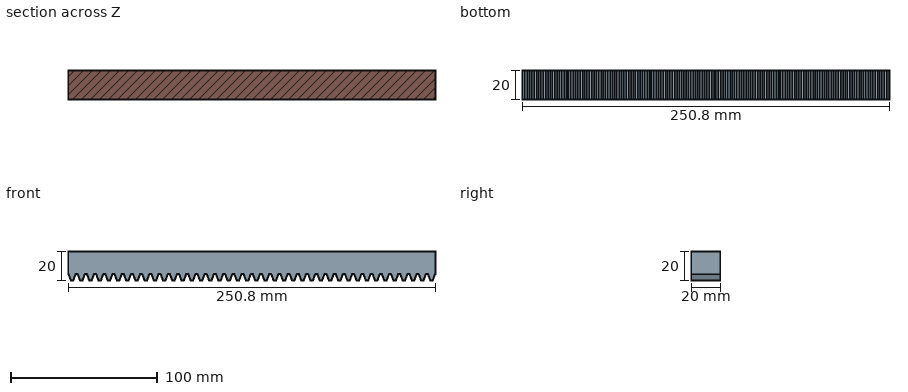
import cadquery as cq
import math

length = 250.8
width = 20.0
height = 20.0

tooth_count = 40
end_to_tooth_centre = 2.8
pitch = (length - 2 * end_to_tooth_centre) / (tooth_count - 1)
module = pitch / math.pi

pressure_angle = math.radians(20)
addendum = module
root_clearance = 0.25 * module
dedendum = addendum + root_clearance
tooth_depth = addendum + dedendum
half_tip = pitch / 4 - addendum * math.tan(pressure_angle)
half_root = pitch / 4 + dedendum * math.tan(pressure_angle)

top_z = height / 2
tip_z = -height / 2
root_z = tip_z + tooth_depth


def tooth_points(centre_x):
    """Corners of one tooth, from its left root to its right root."""
    return [
        (centre_x - half_root, root_z),
        (centre_x - half_tip, tip_z),
        (centre_x + half_tip, tip_z),
        (centre_x + half_root, root_z),
    ]


outline = [(-length / 2, top_z), (-length / 2, root_z)]
for tooth in range(tooth_count):
    outline += tooth_points(-length / 2 + end_to_tooth_centre + tooth * pitch)
outline += [(length / 2, root_z), (length / 2, top_z)]

result = cq.Workplane("XZ").polyline(outline).close().extrude(width / 2, both=True)